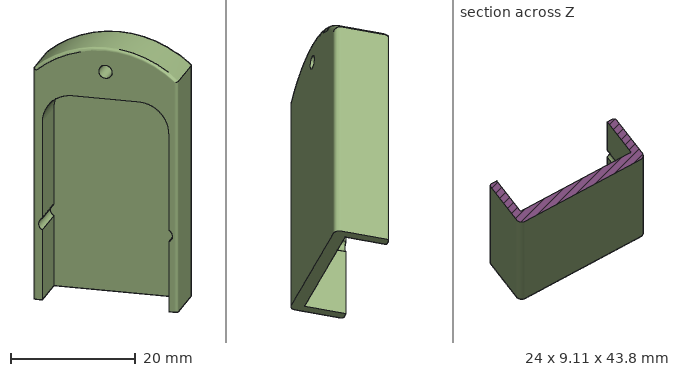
import cadquery as cq
import math

width = 24.0
depth = 9.11
height = 43.82

crown_radius = 18.0
half_width = width / 2
shoulder_height = height - crown_radius + math.sqrt(crown_radius**2 - half_width**2)

back_round = 1.0
front_round = 0.5

side_wall = 1.5
pocket_width = width - 2 * side_wall
pocket_below_shoulder = 4.0
pocket_height = shoulder_height - pocket_below_shoulder
pocket_corner_radius = 5.0
pocket_depth = 7.0

groove_diameter = 2.2
groove_depth = 0.6
groove_height = 12.9
groove_offset = pocket_width / 2 + groove_depth - groove_diameter / 2

hole_diameter = 2.2
hole_below_apex = 4.0
hole_height = height - hole_below_apex


def make_body():
    """Slab with an arched top, rounded front and back but square at the bottom end."""
    outline = (
        cq.Workplane("XZ")
        .moveTo(-half_width, 0)
        .lineTo(half_width, 0)
        .lineTo(half_width, shoulder_height)
        .threePointArc((0, height), (-half_width, shoulder_height))
        .close()
    )
    body = outline.extrude(depth)
    body = body.faces(">Y").edges("not <Z").fillet(back_round)
    return body.faces("<Y").edges("not <Z").fillet(front_round)


def make_pocket():
    """Pocket volume with rounded upper corners, cut in from the front face."""
    pocket = (
        cq.Workplane("XZ", origin=(0, -depth, 0))
        .rect(pocket_width, 2 * pocket_height)
        .extrude(-pocket_depth)
    )
    return pocket.edges("|Y").edges(">Z").fillet(pocket_corner_radius)


def make_grooves():
    """Round grooves facing each other, as deep as the pocket."""
    return (
        cq.Workplane("XZ", origin=(0, -depth, groove_height))
        .pushPoints([(-groove_offset, 0), (groove_offset, 0)])
        .circle(groove_diameter / 2)
        .extrude(-pocket_depth)
    )


def make_hole():
    """Through hole from the front face to the back face."""
    return (
        cq.Workplane("XZ", origin=(0, 0, hole_height))
        .circle(hole_diameter / 2)
        .extrude(depth)
    )


result = make_body().cut(make_pocket()).cut(make_grooves()).cut(make_hole())